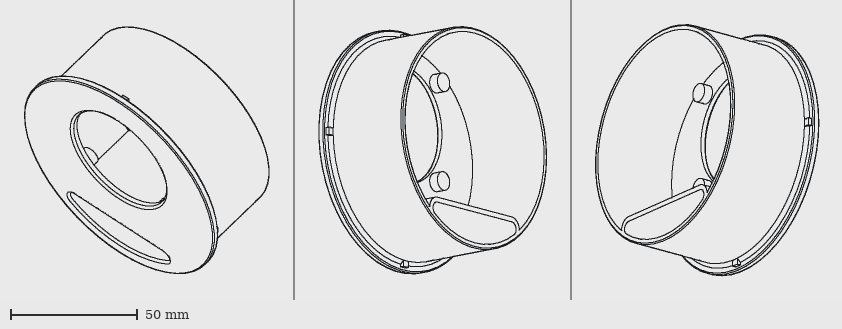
import cadquery as cq

FLANGE_RADIUS = 97 / 2
FLANGE_THICKNESS = 3
BODY_RADIUS = 89 / 2
BODY_LENGTH = 40
WALL = 2
EDGE_CHAMFER = 0.5
RIM_CHAMFER = 1

COLLAR_WIDTH = 1.5
TAB_WIDTH = 3
TAB_RADIUS = 47
TAB_COUNT = 4

OPENING_RADIUS = 47.5 / 2
OPENING_Z = 11
BOSS_RADIUS = 7.5 / 2
BOSS_SPACING = 40
BOSS_HEIGHT = 4

DUCT_TOP_Z = -30
DUCT_CORNER_RADIUS = 2.7

CAVITY_RADIUS = BODY_RADIUS - WALL
COLLAR_END = FLANGE_THICKNESS + COLLAR_WIDTH


def plane_at(y):
    """Plane at depth y whose local axes are -X and Z and whose normal is +Y."""
    return cq.Workplane(cq.Plane(origin=(0, y, 0), xDir=(-1, 0, 0), normal=(0, 1, 0)))


def disc(radius, y_start, y_end):
    """Round disc on the part's axis."""
    return plane_at(y_start).circle(radius).extrude(y_end - y_start)


def segment_prism(radius, top_z, corner_radius, y_start, y_end):
    """Disc cut off flat above top_z, with its two corners rounded."""
    cutter = plane_at(y_start).rect(2 * radius, 2 * radius).extrude(y_end - y_start)
    cutter = cutter.translate((0, 0, top_z - radius))
    return disc(radius, y_start, y_end).intersect(cutter).edges("|Y").fillet(corner_radius)


def make_shell():
    """Flange and cup-shaped body, open at the back."""
    flange = disc(FLANGE_RADIUS, 0, FLANGE_THICKNESS).faces("<Y or >Y").edges().chamfer(EDGE_CHAMFER)
    body = disc(BODY_RADIUS, 0, BODY_LENGTH).faces(">Y").edges().chamfer(EDGE_CHAMFER)
    collar = plane_at(FLANGE_THICKNESS).circle(BODY_RADIUS + COLLAR_WIDTH).extrude(COLLAR_WIDTH, taper=45)
    cavity = disc(CAVITY_RADIUS, FLANGE_THICKNESS, BODY_LENGTH)
    return flange.union(collar).union(body).cut(cavity)


def make_tabs():
    """Evenly spaced tabs that fill the collar's slope out to TAB_RADIUS."""
    ring = disc(TAB_RADIUS, EDGE_CHAMFER, COLLAR_END).cut(disc(CAVITY_RADIUS, 0, COLLAR_END))
    bar = cq.Workplane().box(FLANGE_RADIUS, COLLAR_END, TAB_WIDTH, centered=(False, False, True))
    bars = bar
    for index in range(1, TAB_COUNT):
        bars = bars.union(bar.rotate((0, 0, 0), (0, 1, 0), index * 360 / TAB_COUNT))
    return ring.intersect(bars)


def make_bosses():
    """Short round bosses behind the plate, centred around the opening."""
    return (
        plane_at(0)
        .center(0, OPENING_Z)
        .rect(BOSS_SPACING, BOSS_SPACING, forConstruction=True)
        .vertices()
        .circle(BOSS_RADIUS)
        .extrude(FLANGE_THICKNESS + BOSS_HEIGHT)
    )


def make_opening():
    """Cutter for the round opening, flared at the front face."""
    hole = plane_at(0).center(0, OPENING_Z).circle(OPENING_RADIUS + RIM_CHAMFER)
    hole = hole.extrude(RIM_CHAMFER, taper=45)
    bore = plane_at(0).center(0, OPENING_Z).circle(OPENING_RADIUS).extrude(FLANGE_THICKNESS)
    return hole.union(bore)


def make_duct_wall():
    """Solid envelope of the duct, ending midway through the body wall."""
    envelope = segment_prism(
        BODY_RADIUS, DUCT_TOP_Z + WALL, DUCT_CORNER_RADIUS + WALL, FLANGE_THICKNESS, BODY_LENGTH
    )
    return envelope.intersect(disc(CAVITY_RADIUS + WALL / 2, FLANGE_THICKNESS, BODY_LENGTH))


def chamfer_duct_rim(part):
    """Bevel the duct's edge on the front face, leaving the other edges of that face alone."""
    rim = cq.selectors.BoxSelector(
        (-CAVITY_RADIUS, -EDGE_CHAMFER, -CAVITY_RADIUS),
        (CAVITY_RADIUS, EDGE_CHAMFER, DUCT_TOP_Z + WALL),
    )
    return part.faces("<Y").edges(rim).chamfer(RIM_CHAMFER)


result = make_shell().union(make_tabs()).union(make_bosses()).union(make_duct_wall())
result = result.cut(make_opening())
result = result.cut(segment_prism(CAVITY_RADIUS, DUCT_TOP_Z, DUCT_CORNER_RADIUS, 0, BODY_LENGTH))
result = chamfer_duct_rim(result)